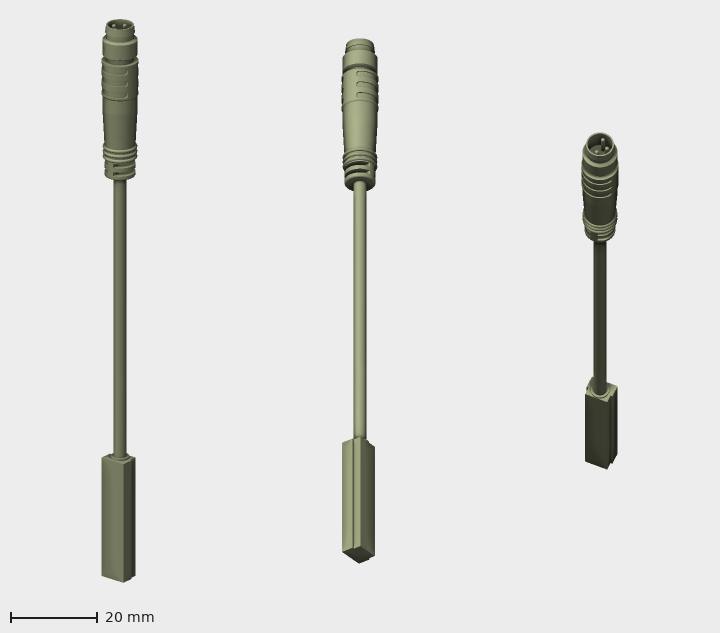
import cadquery as cq
import math


CABLE_DIAMETER = 3.0
CABLE_JOINT_Z = 50.0

SENSOR_TOP_Z = 29.5
SENSOR_WIDE_HALF = 3.23
SENSOR_NARROW_HALF = 2.8
SENSOR_FRONT_Y = -2.8
SENSOR_STEP_Y = 0.3
SENSOR_BACK_Y = 2.2
COLLAR_DIAMETER = 4.3
COLLAR_HEIGHT = 0.4

PLUG_BOTTOM_Z = 100.0
FIRST_RING_Z = 104.4
SHAFT_TOP_Z = 116.6
GRIP_BOTTOM_Z = 120.3
GRIP_TOP_Z = 128.7
SLEEVE_BOTTOM_Z = 129.8
SLEEVE_TOP_Z = 134.3
BARB_Z = 135.7
PLUG_TOP_Z = 137.5

NECK_RADIUS = 3.6
SHAFT_RADIUS = 4.05
GRIP_RADIUS = 4.3
NOSE_RADIUS = 3.23
BARB_RADIUS = 3.5
SLEEVE_BEVEL_HEIGHT = 0.4
GRIP_BEVEL_HEIGHT = 0.3

RELIEF_ROUND_RADIUS = 0.4
RELIEF_CORE_DIAMETER = 2.5
RELIEF_WEB_THICKNESS = 1.6
RELIEF_SLOT_COUNT = 2
RELIEF_SLOT_HEIGHT = 1.0
RELIEF_SLOT_PITCH = 2.0
TOP_SLOT_Z = 104.1

RING_COUNT = 3
RING_PITCH = 1.2
RING_BULGE = 0.4

GROOVE_RADIUS = 4.0
GROOVE_HEIGHT = 1.5
GROOVE_PITCH = 2.9
MIDDLE_GROOVE_Z = 124.5
GROOVE_COUNT = 3
GROOVE_CORNER_RADIUS = 0.5
GRIP_PANEL_WIDTH = 3.7

SOCKET_DIAMETER = 5.8
SOCKET_DEPTH = 5.0
PIN_DIAMETER = 1.0
PIN_CIRCLE_RADIUS = 1.8
PIN_TIP_RADIUS = 0.4
PIN_RECESS = 0.4
PIN_ANGLES = (90, 180, 270)

CLEARANCE = 1.4


def rod(diameter, bottom_z, top_z):
    """Upright cylinder on the Z axis."""
    return cq.Workplane("XY").workplane(offset=bottom_z).circle(diameter / 2).extrude(top_z - bottom_z)


def make_sensor():
    """T-shaped sensor body with its collar and the lower length of cable."""
    outline = [
        (-SENSOR_WIDE_HALF, SENSOR_FRONT_Y),
        (SENSOR_WIDE_HALF, SENSOR_FRONT_Y),
        (SENSOR_WIDE_HALF, SENSOR_STEP_Y),
        (SENSOR_NARROW_HALF, SENSOR_STEP_Y),
        (SENSOR_NARROW_HALF, SENSOR_BACK_Y),
        (-SENSOR_NARROW_HALF, SENSOR_BACK_Y),
        (-SENSOR_NARROW_HALF, SENSOR_STEP_Y),
        (-SENSOR_WIDE_HALF, SENSOR_STEP_Y),
    ]
    body = cq.Workplane("XY").polyline(outline).close().extrude(SENSOR_TOP_Z)
    collar = rod(COLLAR_DIAMETER, SENSOR_TOP_Z, SENSOR_TOP_Z + COLLAR_HEIGHT)
    cable = rod(CABLE_DIAMETER, SENSOR_TOP_Z, CABLE_JOINT_Z)
    return body.union(collar).union(cable)


def make_turned_plug():
    """Revolved outside of the plug, from the strain relief up to the barbed nose."""
    round_start_radius = NECK_RADIUS - RELIEF_ROUND_RADIUS
    round_end_z = PLUG_BOTTOM_Z + RELIEF_ROUND_RADIUS
    round_offset = RELIEF_ROUND_RADIUS * math.sin(math.radians(45))
    profile = (
        cq.Workplane("XZ")
        .moveTo(0, PLUG_BOTTOM_Z)
        .lineTo(round_start_radius, PLUG_BOTTOM_Z)
        .threePointArc(
            (round_start_radius + round_offset, round_end_z - round_offset),
            (NECK_RADIUS, round_end_z),
        )
    )
    for ring in range(RING_COUNT):
        start_z = FIRST_RING_Z + ring * RING_PITCH
        middle_z = start_z + RING_BULGE
        end_z = middle_z + RING_BULGE
        profile = profile.lineTo(NECK_RADIUS, start_z)
        profile = profile.threePointArc((NECK_RADIUS + RING_BULGE, middle_z), (NECK_RADIUS, end_z))
    profile = (
        profile.lineTo(SHAFT_RADIUS, SHAFT_TOP_Z)
        .lineTo(SHAFT_RADIUS, GRIP_BOTTOM_Z - GRIP_BEVEL_HEIGHT)
        .lineTo(GRIP_RADIUS, GRIP_BOTTOM_Z)
        .lineTo(GRIP_RADIUS, GRIP_TOP_Z)
        .lineTo(NOSE_RADIUS, GRIP_TOP_Z)
        .lineTo(NOSE_RADIUS, SLEEVE_BOTTOM_Z)
        .lineTo(SHAFT_RADIUS, SLEEVE_BOTTOM_Z + SLEEVE_BEVEL_HEIGHT)
        .lineTo(SHAFT_RADIUS, SLEEVE_TOP_Z - SLEEVE_BEVEL_HEIGHT)
        .lineTo(NOSE_RADIUS, SLEEVE_TOP_Z)
        .lineTo(NOSE_RADIUS, BARB_Z)
        .lineTo(BARB_RADIUS, BARB_Z)
        .lineTo(NOSE_RADIUS, PLUG_TOP_Z)
        .lineTo(0, PLUG_TOP_Z)
        .close()
    )
    return profile.revolve(360, (0, 0, 0), (0, 1, 0))


def make_relief_slots():
    """Slots, one above the other, that leave a flat web and a round core in the strain relief."""
    slots = cq.Workplane("XY")
    for level in range(RELIEF_SLOT_COUNT):
        top_z = TOP_SLOT_Z - level * RELIEF_SLOT_PITCH
        bottom_z = top_z - RELIEF_SLOT_HEIGHT
        web = (
            cq.Workplane("XY")
            .workplane(offset=bottom_z)
            .rect(RELIEF_WEB_THICKNESS, 2 * (NECK_RADIUS + CLEARANCE))
            .extrude(RELIEF_SLOT_HEIGHT)
        )
        slot = rod(2 * (NECK_RADIUS + CLEARANCE), bottom_z, top_z)
        slots = slots.add(slot.cut(web).cut(rod(RELIEF_CORE_DIAMETER, bottom_z, top_z)))
    return slots


def make_grip_grooves():
    """Grooves around the -Y and +Y sides of the grip, ending at a smooth panel on -X and +X."""
    outer_radius = GRIP_RADIUS + CLEARANCE
    reach = outer_radius - GRIP_PANEL_WIDTH / 2
    shell = rod(2 * outer_radius, GRIP_BOTTOM_Z, GRIP_TOP_Z).cut(
        rod(2 * GROOVE_RADIUS, GRIP_BOTTOM_Z, GRIP_TOP_Z)
    )
    bars = cq.Workplane("XY")
    for index in range(GROOVE_COUNT):
        groove_z = MIDDLE_GROOVE_Z + (index - (GROOVE_COUNT - 1) / 2) * GROOVE_PITCH
        for side in (-1, 1):
            bar = (
                cq.Workplane("XY")
                .box(2 * outer_radius, reach, GROOVE_HEIGHT)
                .edges("|X")
                .fillet(GROOVE_CORNER_RADIUS)
                .translate((0, side * (GRIP_PANEL_WIDTH + reach) / 2, groove_z))
            )
            bars = bars.add(bar)
    return bars.combine().intersect(shell)


def make_pins(floor_z):
    """Round-tipped contact pins standing on the socket floor."""
    centres = [
        (PIN_CIRCLE_RADIUS * math.cos(math.radians(a)), PIN_CIRCLE_RADIUS * math.sin(math.radians(a)))
        for a in PIN_ANGLES
    ]
    pin_height = SOCKET_DEPTH - PIN_RECESS
    return (
        cq.Workplane("XY")
        .workplane(offset=floor_z)
        .pushPoints(centres)
        .circle(PIN_DIAMETER / 2)
        .extrude(pin_height)
        .faces(">Z")
        .edges()
        .fillet(PIN_TIP_RADIUS)
    )


def make_plug():
    """Plug with its upper length of cable."""
    socket_floor_z = PLUG_TOP_Z - SOCKET_DEPTH
    plug = make_turned_plug()
    for slot in make_relief_slots().vals():
        plug = plug.cut(cq.Workplane(slot))
    plug = plug.cut(make_grip_grooves())
    plug = plug.cut(rod(SOCKET_DIAMETER, socket_floor_z, PLUG_TOP_Z))
    plug = plug.union(make_pins(socket_floor_z))
    return plug.union(rod(CABLE_DIAMETER, CABLE_JOINT_Z, PLUG_BOTTOM_Z))


sensor = make_sensor()
plug = make_plug()

result = cq.Compound.makeCompound([sensor.val(), plug.val()])